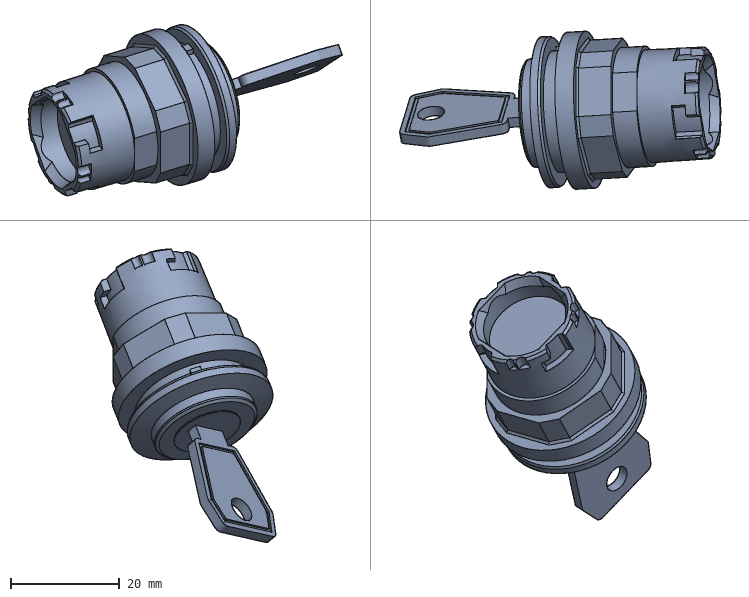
import cadquery as cq
import math

overall_length = 57.35

sleeve_rear_diameter = 20.6
sleeve_front_diameter = 20.9
sleeve_length = 11.4
rim_chamfer_length = 0.45
rim_chamfer_depth = 0.5

collar_diameter = 22.2
collar_flat_distance = 20.9
collar_front = 15.95

nut_flats_across_x = 24.1
nut_flats_across_z = 25.5
nut_foot_length = 0.45
flange_rear = 22.45
flange_front = 25.95
flange_diameter = 29.0
nut_recess_diameter = 22.0
nut_recess_depth = 0.5

neck_diameter = 22.5
tab_width = 2.0
tab_length = 1.45
tab_rear = 27.25
tab_top_radius = 12.2

bezel_rear = 28.85
bezel_rear_diameter = 27.4
bezel_diameter = 27.9
bezel_rear_cone_length = 0.5
bezel_edge_front = 30.8
bezel_cone_front = 31.45
lock_diameter = 20.05
lock_side_front = 33.25
lock_shoulder_diameter = 19.85
lock_shoulder_front = 33.55
lock_rim_front = 33.95
lock_rim_diameter = 18.6
lock_core_diameter = 12.9
lock_front = 34.2

bore_diameter = 15.95
bore_depth = 5.1
mouth_diameter = 17.95
mouth_depth = 1.7
mouth_square_rear_side = 16.45
mouth_square_inner_side = 15.2

quarter_turns = (0, 90, 180, 270)
pocket_floor_diameter = 18.2
pocket_depth = 5.0
pocket_entry_depth = 2.45
pocket_side_z = 5.85
pocket_lip_x = -7.8
pocket_lip_outer_x = -8.3
pocket_lip_outer_z = 6.1
pocket_entry_x = -4.75
pocket_end_x = -3.0
scallop_depth = 2.45
large_scallop_radius = 1.1
large_scallop_centre = (0.2, 10.5)
small_scallop_radius = 0.8
small_scallop_centre = (2.4, 10.15)

key_thickness = 2.0
bow_length = 20.0
bow_offset = 0.5
bow_top_width = 14.25
bow_max_width = 18.0
bow_bottom_width = 11.4
bow_shoulder_drop = 5.75
bow_corner_radius = 1.3
key_hole_diameter = 5.0
key_hole_drop = 4.95
groove_inset = 1.0
groove_width = 0.7
groove_depth = 0.35
blade_width = 7.4
blade_offset = 0.6


def section_plane(y):
    """Plane across the axis at y, with local axes X and Z; extruding goes to -Y."""
    return cq.Workplane("XZ", origin=(0, y, 0))


def cylinder(diameter, rear, front):
    return section_plane(front).circle(diameter / 2).extrude(front - rear)


def make_sleeve():
    rear_radius = sleeve_rear_diameter / 2
    return (
        cq.Workplane("XY")
        .lineTo(rear_radius - rim_chamfer_depth, 0)
        .lineTo(rear_radius, rim_chamfer_length)
        .lineTo(sleeve_front_diameter / 2, sleeve_length)
        .lineTo(0, sleeve_length)
        .close()
        .revolve(360, (0, 0), (0, 1))
    )


def make_collar():
    collar = cylinder(collar_diameter, sleeve_length, collar_front)
    flats = section_plane(collar_front).rect(collar_flat_distance, collar_diameter)
    return collar.intersect(flats.extrude(collar_front - sleeve_length))


def make_nut():
    corner_radius = nut_flats_across_x / 2 / math.cos(math.pi / 6)
    cut_distance = nut_flats_across_z / 2
    cut_half_width = (corner_radius - cut_distance) * math.tan(math.pi / 3)
    corners = []
    for index in range(6):
        angle = math.radians(30 + 60 * index)
        for side in (-cut_half_width, cut_half_width):
            x = cut_distance * math.cos(angle) - side * math.sin(angle)
            z = cut_distance * math.sin(angle) + side * math.cos(angle)
            corners.append((x, z))
    foot_rear = flange_rear - nut_foot_length
    body = section_plane(flange_rear).polyline(corners).close().extrude(flange_rear - collar_front)
    foot = section_plane(foot_rear).polyline(corners).close().extrude(-nut_foot_length, taper=-45)
    return body.union(foot).union(cylinder(flange_diameter, flange_rear, flange_front))


def make_nut_recess():
    flat_x = collar_flat_distance / 2
    recess = cylinder(nut_recess_diameter, collar_front, collar_front + nut_recess_depth)
    beside_flat = (
        section_plane(collar_front + nut_recess_depth)
        .moveTo(flat_x, -nut_recess_diameter / 2)
        .rect(nut_recess_diameter, nut_recess_diameter, centered=False)
        .extrude(nut_recess_depth)
    )
    return recess.intersect(beside_flat)


def make_neck():
    neck = cylinder(neck_diameter, flange_front, bezel_rear)
    tab = cq.Workplane("XY").box(tab_width, tab_length, tab_top_radius, centered=(True, False, False))
    return neck.union(tab.translate((0, tab_rear, 0)))


def make_bezel():
    bezel = (
        cq.Workplane("XY")
        .moveTo(0, bezel_rear)
        .lineTo(bezel_rear_diameter / 2, bezel_rear)
        .lineTo(bezel_diameter / 2, bezel_rear + bezel_rear_cone_length)
        .lineTo(bezel_diameter / 2, bezel_edge_front)
        .lineTo(lock_diameter / 2, bezel_cone_front)
        .lineTo(lock_diameter / 2, lock_side_front)
        .lineTo(lock_shoulder_diameter / 2, lock_shoulder_front)
        .lineTo(lock_rim_diameter / 2, lock_rim_front)
        .lineTo(0, lock_rim_front)
        .close()
        .revolve(360, (0, 0), (0, 1))
    )
    return bezel.union(cylinder(lock_core_diameter, lock_rim_front, lock_front))


def make_bore():
    bore = cylinder(bore_diameter, 0, bore_depth)
    cone = (
        section_plane(0)
        .circle(mouth_diameter / 2)
        .workplane(offset=-mouth_depth)
        .circle(bore_diameter / 2)
        .loft()
    )
    square = (
        section_plane(0)
        .transformed(rotate=(0, 0, 45))
        .rect(mouth_square_rear_side, mouth_square_rear_side)
        .workplane(offset=-mouth_depth)
        .rect(mouth_square_inner_side, mouth_square_inner_side)
        .loft()
    )
    return bore.union(cone.intersect(square))


def pocket_slot(end_x, rear, front):
    """Slot reaching from the bevelled side wall to the opposite wall at end_x."""
    reach = sleeve_front_diameter / 2
    slot = (
        section_plane(front)
        .moveTo(end_x, pocket_side_z)
        .lineTo(pocket_lip_x, pocket_side_z)
        .lineTo(pocket_lip_outer_x, pocket_lip_outer_z)
        .lineTo(-reach, pocket_lip_outer_z)
        .lineTo(-reach, reach)
        .lineTo(end_x, reach)
        .close()
        .extrude(front - rear)
    )
    return slot.cut(cylinder(pocket_floor_diameter, rear, front))


def make_pocket():
    entry = pocket_slot(pocket_entry_x, 0, pocket_depth)
    return entry.union(pocket_slot(pocket_end_x, pocket_entry_depth, pocket_depth))


def make_scallop(centre, radius):
    return section_plane(scallop_depth).center(*centre).circle(radius).extrude(scallop_depth)


def cut_rim_details(body):
    details = (
        make_pocket(),
        make_scallop(large_scallop_centre, large_scallop_radius),
        make_scallop(small_scallop_centre, small_scallop_radius),
    )
    for detail in details:
        for turn in quarter_turns:
            body = body.cut(detail.rotate((0, 0, 0), (0, 1, 0), turn))
    return body


def key_plane(height):
    """Plane parallel to the key faces: local x runs across the key, local y along the axis."""
    plane = cq.Plane(origin=(0, 0, 0), xDir=(1, 0, 1), normal=(-1, 0, 1))
    return cq.Workplane(plane).workplane(offset=height)


def bow_outline(height):
    bottom = overall_length - bow_length
    shoulder = overall_length - bow_shoulder_drop
    right_side = [
        (bow_bottom_width / 2, bottom),
        (bow_max_width / 2, shoulder),
        (bow_top_width / 2, overall_length),
    ]
    left_side = [(-x, y) for x, y in reversed(right_side)]
    return key_plane(height).center(bow_offset, 0).polyline(right_side + left_side).close()


def make_key():
    half_thickness = key_thickness / 2
    bow = bow_outline(-half_thickness).extrude(key_thickness)
    across_key = cq.Vector(-1, 0, 1)
    bow = bow.edges(cq.selectors.ParallelDirSelector(across_key)).fillet(bow_corner_radius)
    groove_floor = half_thickness - groove_depth
    groove = bow_outline(groove_floor).offset2D(-groove_inset).extrude(groove_depth)
    island = bow_outline(groove_floor).offset2D(-groove_inset - groove_width).extrude(groove_depth)
    hole = (
        key_plane(-half_thickness)
        .center(bow_offset, overall_length - key_hole_drop)
        .circle(key_hole_diameter / 2)
        .extrude(key_thickness)
    )
    bow = bow.cut(groove.cut(island)).cut(hole)
    blade_length = overall_length - bow_length - lock_front
    blade = (
        key_plane(-half_thickness)
        .center(blade_offset, lock_front + blade_length / 2)
        .rect(blade_width, blade_length)
        .extrude(key_thickness)
    )
    return bow.union(blade)


body = make_sleeve().union(make_collar()).union(make_nut()).union(make_neck()).union(make_bezel())
body = cut_rim_details(body.cut(make_bore()).cut(make_nut_recess()))
result = body.union(make_key())